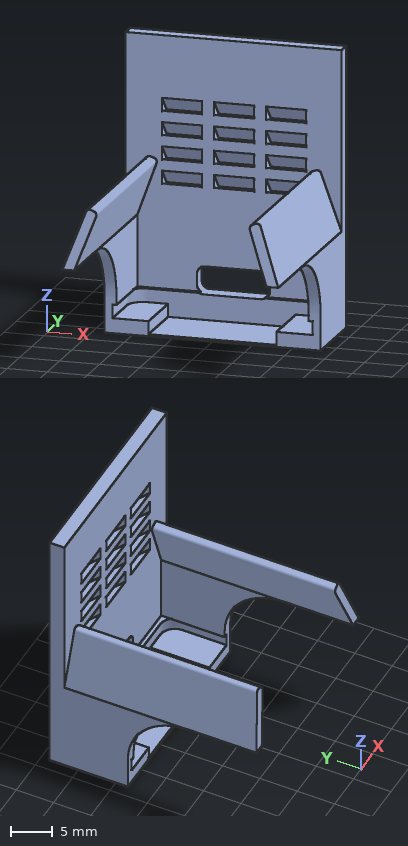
import cadquery as cq
import math

WIDTH = 27.0
DEPTH = 27.72
HEIGHT = 35.0

PLATE_THICKNESS = 2.0
SIDE_THICKNESS = 1.5

BASE_DEPTH = 10.5
BASE_HEIGHT = 3.57
POCKET_WIDTH = 25.0
POCKET_FLOOR = 1.9
POCKET_BACK = 2.6
POCKET_CORNER_RADIUS = 2.0
CHANNEL_WIDTH = 15.95
CHANNEL_FLOOR = 0.28

ARM_BOTTOM = 12.5
ARM_LENGTH = 7.98
ARM_LEAN = 20.0
ARM_TIP_ANGLE = 10.0
ARM_EDGE_RADIUS = 0.5
SIDE_ARC_RADIUS = 7.98

SLOT_WIDTH = 9.1
SLOT_HEIGHT = 3.3
SLOT_BOTTOM = 3.43
SLOT_CORNER_RADIUS = 0.98

VENT_COLUMNS = 3
VENT_ROWS = 4
VENT_WIDTH = 5.0
VENT_HEIGHT = 1.58
VENT_DROP_ANGLE = 45.0
VENT_PITCH_X = 6.5
VENT_PITCH_Z = 3.0
VENT_CENTRE_X = 0.07
VENT_FRONT_Z = 21.9


def box(width, y_front, y_back, z_bottom, z_top):
    """Block centred on X between the given Y and Z limits."""
    return cq.Workplane("XY").box(
        width, y_back - y_front, z_top - z_bottom, centered=(True, False, False)
    ).translate((0, y_front, z_bottom))


def make_side_wall():
    """Left wall: a base-deep panel that sweeps forward under the arm in a quarter circle."""
    arc_end = BASE_DEPTH + SIDE_ARC_RADIUS
    arc_start_z = ARM_BOTTOM - SIDE_ARC_RADIUS
    arc_offset = SIDE_ARC_RADIUS * (1 - math.sqrt(0.5))
    return (
        cq.Workplane("YZ", origin=(-WIDTH / 2, 0, 0))
        .moveTo(0, 0)
        .lineTo(-BASE_DEPTH, 0)
        .lineTo(-BASE_DEPTH, arc_start_z)
        .threePointArc((-BASE_DEPTH - arc_offset, ARM_BOTTOM - arc_offset), (-arc_end, ARM_BOTTOM))
        .lineTo(0, ARM_BOTTOM)
        .close()
        .extrude(SIDE_THICKNESS)
    )


def make_arm():
    """Left arm: leans inward, has rounded upper edges and a front end that slopes back."""
    lean = math.radians(ARM_LEAN)
    thickness = SIDE_THICKNESS * math.cos(lean)
    outer_x = -WIDTH / 2
    top_outer = (outer_x + ARM_LENGTH * math.sin(lean), ARM_BOTTOM + ARM_LENGTH * math.cos(lean))
    top_inner = (top_outer[0] + thickness * math.cos(lean), top_outer[1] - thickness * math.sin(lean))
    bar = (
        cq.Workplane("XZ")
        .polyline([
            (outer_x, ARM_BOTTOM),
            (outer_x + SIDE_THICKNESS, ARM_BOTTOM),
            top_inner,
            top_outer,
        ])
        .close()
        .extrude(DEPTH)
    )
    bar = bar.edges("|Y").edges("not <Z").fillet(ARM_EDGE_RADIUS)

    tip_rise = HEIGHT - ARM_BOTTOM
    tip_cutter = (
        cq.Workplane("YZ")
        .polyline([
            (-DEPTH, ARM_BOTTOM),
            (-DEPTH + tip_rise * math.tan(math.radians(ARM_TIP_ANGLE)), HEIGHT),
            (-DEPTH, HEIGHT),
        ])
        .close()
        .extrude(WIDTH, both=True)
    )
    return bar.cut(tip_cutter)


def make_pocket():
    """Rounded pocket open at the front, with a deeper channel along its middle."""
    pocket = box(
        POCKET_WIDTH, -BASE_DEPTH, -POCKET_BACK, POCKET_FLOOR, BASE_HEIGHT
    ).edges("|Z and >Y").fillet(POCKET_CORNER_RADIUS)
    channel = box(CHANNEL_WIDTH, -BASE_DEPTH, -POCKET_BACK, CHANNEL_FLOOR, BASE_HEIGHT)
    return pocket.union(channel)


def make_slot():
    """Cable slot with rounded corners, just cutting into the rear rim of the pocket."""
    return box(
        SLOT_WIDTH, -BASE_DEPTH, 0, SLOT_BOTTOM, SLOT_BOTTOM + SLOT_HEIGHT
    ).edges("|Y").fillet(SLOT_CORNER_RADIUS)


def make_vents():
    """Grid of rectangular openings through the back plate, sloping down towards its rear face."""
    drop = PLATE_THICKNESS * math.tan(math.radians(VENT_DROP_ANGLE))
    vents = cq.Workplane("XY")
    for row in range(VENT_ROWS):
        bottom = VENT_FRONT_Z + (row - (VENT_ROWS - 1) / 2) * VENT_PITCH_Z - VENT_HEIGHT / 2
        top = bottom + VENT_HEIGHT
        vent = (
            cq.Workplane("YZ")
            .polyline([
                (-PLATE_THICKNESS, bottom),
                (-PLATE_THICKNESS, top),
                (0, top - drop),
                (0, bottom - drop),
            ])
            .close()
            .extrude(VENT_WIDTH / 2, both=True)
        )
        for column in range(VENT_COLUMNS):
            centre_x = VENT_CENTRE_X + (column - (VENT_COLUMNS - 1) / 2) * VENT_PITCH_X
            vents = vents.add(vent.translate((centre_x, 0, 0)))
    return vents.combine()


back_plate = box(WIDTH, -PLATE_THICKNESS, 0, 0, HEIGHT)
base = box(WIDTH, -BASE_DEPTH, 0, 0, BASE_HEIGHT)
left_side = make_side_wall().union(make_arm())
right_side = left_side.mirror("YZ")

result = back_plate.union(base).union(left_side).union(right_side)
result = result.cut(make_pocket()).cut(make_slot()).cut(make_vents())